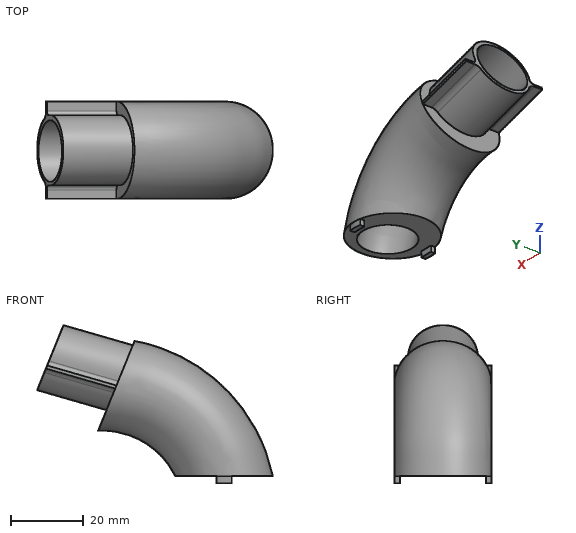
import cadquery as cq
import math

BEND_X = 18.25
BEND_Z = -9.95
OUTER_BEND_RADIUS = 48.3
INNER_BEND_RADIUS = 22.5
ELBOW_WIDTH = 27.0
FACE_TILT = 22.1
FACE_OFFSET = 9.6

SPIGOT_DIAMETER = 19.5
BORE_DIAMETER = 17.1
BORE_SHIFT = 0.25
SPIGOT_RISE = 36.3
SPIGOT_LENGTH = 20.0
SPIGOT_SLOPE = 16.1

FIN_THICKNESS = 0.9
FIN_DROP = 2.8
UPPER_FILLET = 1.25
LOWER_FILLET = 2.1

TAB_LENGTH = 4.3
TAB_WIDTH = 1.65
TAB_HEIGHT = 1.95

PLATE = 0.65
TOOL_SIZE = 196.3

tilt = math.radians(FACE_TILT)
slope = math.radians(SPIGOT_SLOPE)
bend_origin = cq.Vector(BEND_X, 0, BEND_Z)
face_up = cq.Vector(math.sin(tilt), 0, math.cos(tilt))
face_normal = cq.Vector(-math.cos(tilt), 0, math.sin(tilt))
spigot_root = bend_origin + face_normal * FACE_OFFSET + face_up * SPIGOT_RISE
spigot_vector = cq.Vector(-math.cos(slope), 0, math.sin(slope)) * SPIGOT_LENGTH
face_plane = cq.Plane(origin=spigot_root, xDir=(0, -1, 0), normal=face_normal)


def bend(radius, radial_half, width_half):
    """Full ring of elliptical section about the bend axis."""
    return (
        cq.Workplane("XY", origin=bend_origin)
        .center(radius, 0)
        .ellipse(radial_half, width_half)
        .revolve(360, (-radius, 0), (-radius, 1))
    )


def between_faces(ring):
    """Keep the part of a ring between the base and the upper face."""
    above_base = (
        cq.Workplane("XY").rect(TOOL_SIZE, TOOL_SIZE).extrude(TOOL_SIZE)
    )
    behind_face = (
        cq.Workplane(face_plane).rect(TOOL_SIZE, TOOL_SIZE).extrude(-TOOL_SIZE)
    )
    return ring.intersect(above_base).intersect(behind_face)


def slanted_extrusion(profile):
    """Sweep a profile in the upper face along the slanted spigot axis."""
    rear_side = cq.selectors.DirectionMinMaxSelector(face_normal, False)
    face = profile.faces(rear_side).val()
    return cq.Workplane(cq.Solid.extrudeLinear(face, spigot_vector))


def spigot_profile():
    """Thin plate with the outline of the spigot and its filleted fins."""
    disc = cq.Workplane(face_plane).circle(SPIGOT_DIAMETER / 2).extrude(PLATE)
    fins = (
        cq.Workplane(face_plane).center(0, -FIN_DROP)
        .rect(ELBOW_WIDTH, FIN_THICKNESS).extrude(PLATE)
    )
    profile = disc.union(fins)
    for side, radius in ((1, UPPER_FILLET), (-1, LOWER_FILLET)):
        height = -FIN_DROP + side * FIN_THICKNESS / 2
        reach = math.sqrt((SPIGOT_DIAMETER / 2) ** 2 - height ** 2)
        for across in (-reach, reach):
            corner = face_plane.toWorldCoords((across, height, PLATE / 2))
            nearest = cq.selectors.NearestToPointSelector(corner.toTuple())
            profile = profile.edges(nearest).fillet(radius)
    return profile


mean_radius = (OUTER_BEND_RADIUS + INNER_BEND_RADIUS) / 2
radial_half = (OUTER_BEND_RADIUS - INNER_BEND_RADIUS) / 2
elbow = between_faces(bend(mean_radius, radial_half, ELBOW_WIDTH / 2))

spigot = slanted_extrusion(spigot_profile())

half_bore = BORE_DIAMETER / 2
bore_outer = math.hypot(FACE_OFFSET, SPIGOT_RISE + half_bore)
bore_inner = math.hypot(FACE_OFFSET, SPIGOT_RISE - half_bore)
bend_bore = between_faces(
    bend((bore_outer + bore_inner) / 2, (bore_outer - bore_inner) / 2, half_bore)
).translate((0, -BORE_SHIFT, 0))
spigot_bore = slanted_extrusion(
    cq.Workplane(face_plane).center(BORE_SHIFT, 0).circle(half_bore).extrude(PLATE)
)

base_outer = BEND_X + math.sqrt(OUTER_BEND_RADIUS ** 2 - BEND_Z ** 2)
base_inner = BEND_X + math.sqrt(INNER_BEND_RADIUS ** 2 - BEND_Z ** 2)
base_centre = (base_outer + base_inner) / 2
tab_outline = (
    cq.Workplane("XY").center(base_centre, 0)
    .circle(ELBOW_WIDTH / 2).extrude(-TAB_HEIGHT)
)
tab_spacing = ELBOW_WIDTH - TAB_WIDTH
tabs = (
    cq.Workplane("XY").center(base_centre, 0)
    .pushPoints([(0, -tab_spacing / 2), (0, tab_spacing / 2)])
    .rect(TAB_LENGTH, TAB_WIDTH).extrude(-TAB_HEIGHT)
    .intersect(tab_outline)
)

result = elbow.union(spigot).cut(bend_bore).cut(spigot_bore).union(tabs)